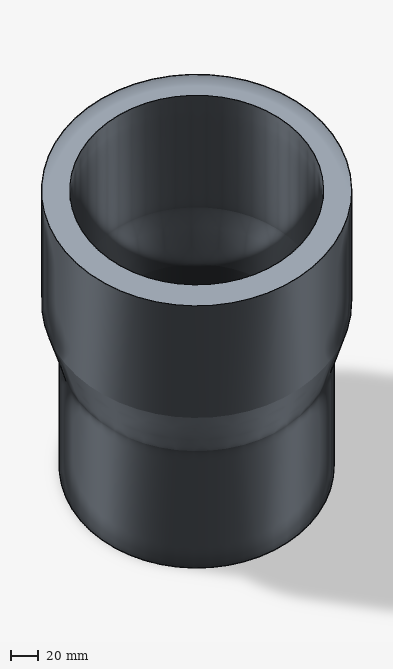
import cadquery as cq

total_height = 300.0
socket_outer_radius = 112.5
spigot_outer_radius = 100.0
socket_wall = 20.5
spigot_wall = 18.3

taper_bottom = 127.2
taper_top = 177.5

socket_inner_radius = socket_outer_radius - socket_wall
spigot_inner_radius = spigot_outer_radius - spigot_wall

wall_section = [
    (spigot_inner_radius, 0),
    (spigot_outer_radius, 0),
    (spigot_outer_radius, taper_bottom),
    (socket_outer_radius, taper_top),
    (socket_outer_radius, total_height),
    (socket_inner_radius, total_height),
    (socket_inner_radius, taper_top),
    (spigot_inner_radius, taper_bottom),
]

result = cq.Workplane("XZ").polyline(wall_section).close().revolve(360, (0, 0), (0, 1))